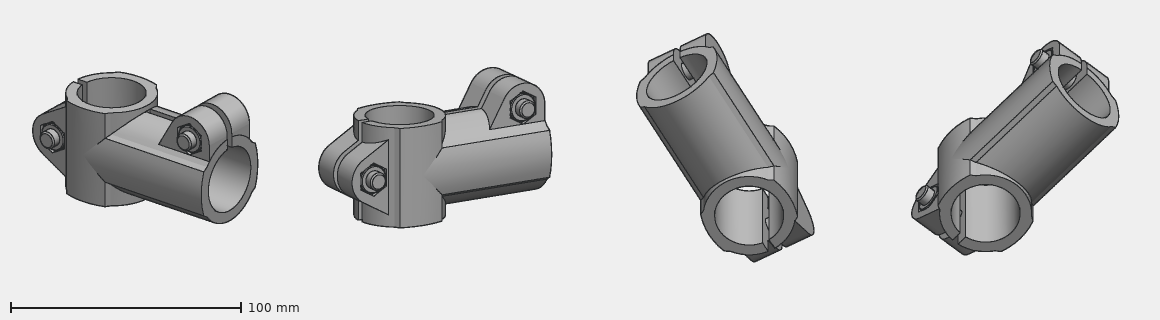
import cadquery as cq
import math

TUBE_RADIUS = 20.0
BORE_RADIUS = 15.0
PAD_EDGE_X = 10.6
PAD_EDGE_Y = 18.2
PAD_FOOT_X = 12.0
VERTICAL_LENGTH = 45.0
HORIZONTAL_END = 65.0
HORIZONTAL_BORE_DEPTH = 45.0

SLIT_WIDTH = 3.2
LUG_WIDTH = 28.5
LUG_RADIUS = 11.0
LUG_FLANK_ANGLE = 30.0
LUG_ROOT_DISTANCE = 8.0
SCREW_DISTANCE = 21.5
END_SCREW_X = 53.95

SCREW_DIAMETER = 8.0
SCREW_PROTRUSION = 4.3
SCREW_TIP_DIAMETER = 6.5
SCREW_TIP_LENGTH = 0.6
NUT_FLATS = 13.0
NUT_HEIGHT = 8.0
NUT_CHAMFER_DIAMETER = 12.9
NUT_CHAMFER_ANGLE = 30.0
COLLAR_DIAMETER = 12.6
COLLAR_HEIGHT = 1.5
COLLAR_CHAMFER = 0.45

NUT_CORNERS = NUT_FLATS / math.cos(math.radians(30))
PAD_FOOT_Y = math.sqrt(TUBE_RADIUS**2 - PAD_FOOT_X**2)
LUG_FACE_Y = -LUG_WIDTH / 2


def tube_outline(plane):
    """Round section with a flatter, thickened pad on its +Y and -Y sides."""
    return (
        cq.Workplane(plane)
        .moveTo(PAD_FOOT_X, -PAD_FOOT_Y)
        .threePointArc((TUBE_RADIUS, 0), (PAD_FOOT_X, PAD_FOOT_Y))
        .lineTo(PAD_EDGE_X, PAD_EDGE_Y)
        .threePointArc((0, TUBE_RADIUS), (-PAD_EDGE_X, PAD_EDGE_Y))
        .lineTo(-PAD_FOOT_X, PAD_FOOT_Y)
        .threePointArc((-TUBE_RADIUS, 0), (-PAD_FOOT_X, -PAD_FOOT_Y))
        .lineTo(-PAD_EDGE_X, -PAD_EDGE_Y)
        .threePointArc((0, -TUBE_RADIUS), (PAD_EDGE_X, -PAD_EDGE_Y))
        .close()
    )


def tubes():
    """Vertical tube joined by a horizontal one that starts on its axis."""
    vertical = tube_outline(cq.Plane.XY()).extrude(VERTICAL_LENGTH / 2, both=True)
    along_x = cq.Plane(origin=(0, 0, 0), xDir=(0, 0, 1), normal=(1, 0, 0))
    return vertical.union(tube_outline(along_x).extrude(HORIZONTAL_END))


def lug_plane(center_x, center_z, outward):
    """XZ plane at the screw axis; local Y points away from the tube, normal is -Y."""
    across = cq.Vector(outward).cross(cq.Vector(0, -1, 0))
    return cq.Plane(origin=(center_x, 0, center_z), xDir=across.toTuple(), normal=(0, -1, 0))


def lug(plane, straight_right):
    """Rounded lug on the screw axis; its right flank may run straight to the tube."""
    angle = math.radians(LUG_FLANK_ANGLE)
    tangent_x = LUG_RADIUS * math.cos(angle)
    tangent_y = LUG_RADIUS * math.sin(angle)
    root_y = LUG_ROOT_DISTANCE - SCREW_DISTANCE
    root_x = tangent_x + (tangent_y - root_y) * math.tan(angle)
    if straight_right:
        right_tangent = (LUG_RADIUS, 0)
        right_root = (LUG_RADIUS, root_y)
    else:
        right_tangent = (tangent_x, tangent_y)
        right_root = (root_x, root_y)
    return (
        cq.Workplane(plane)
        .moveTo(-root_x, root_y)
        .lineTo(-tangent_x, tangent_y)
        .threePointArc((0, LUG_RADIUS), right_tangent)
        .lineTo(*right_root)
        .close()
        .extrude(LUG_WIDTH / 2, both=True)
    )


def bores():
    """Through bore of the vertical tube and blind bore from the horizontal tube's end."""
    vertical = (
        cq.Workplane("XY")
        .transformed(rotate=(0, 0, 180))
        .circle(BORE_RADIUS)
        .extrude(VERTICAL_LENGTH / 2, both=True)
    )
    end = cq.Workplane("YZ", origin=(HORIZONTAL_END, 0, 0))
    return vertical.union(end.circle(BORE_RADIUS).extrude(-HORIZONTAL_BORE_DEPTH))


def slits():
    """Gaps that split each bore wall and its lug into two clamping halves."""
    reach = SCREW_DISTANCE + LUG_RADIUS
    bore_floor_x = HORIZONTAL_END - HORIZONTAL_BORE_DEPTH
    side = cq.Workplane("XY", origin=(-reach, 0, 0)).box(
        reach, SLIT_WIDTH, VERTICAL_LENGTH, centered=(False, True, True)
    )
    top = cq.Workplane("XY", origin=(bore_floor_x, 0, 0)).box(
        HORIZONTAL_BORE_DEPTH, SLIT_WIDTH, reach, centered=(False, True, False)
    )
    return side.union(top)


def nut_hexagon(center, face_y, height):
    """Hexagonal prism, corners up and down, running from face_y towards +Y."""
    return (
        cq.Workplane("XZ", origin=(center[0], face_y, center[1]))
        .transformed(rotate=(0, 0, 90))
        .polygon(6, NUT_CORNERS)
        .extrude(-height)
    )


def nut_pocket(center):
    """Hexagonal recess in the lug's -Y face."""
    return nut_hexagon(center, LUG_FACE_Y, NUT_HEIGHT)


def nut(center):
    """Locking nut: chamfered hexagon below a round chamfered collar flush with the lug."""
    hexagon_y = LUG_FACE_Y + COLLAR_HEIGHT
    hexagon_height = NUT_HEIGHT - COLLAR_HEIGHT
    chamfer_radius = NUT_CHAMFER_DIAMETER / 2
    base_radius = chamfer_radius + hexagon_height / math.tan(math.radians(NUT_CHAMFER_ANGLE))
    chamfer_cone = cq.Workplane("XY").add(
        cq.Solid.makeCone(
            chamfer_radius,
            base_radius,
            hexagon_height,
            cq.Vector(center[0], hexagon_y, center[1]),
            cq.Vector(0, 1, 0),
        )
    )
    collar = (
        cq.Workplane("XZ", origin=(center[0], hexagon_y, center[1]))
        .circle(COLLAR_DIAMETER / 2)
        .extrude(COLLAR_HEIGHT)
        .faces("<Y")
        .chamfer(COLLAR_CHAMFER)
    )
    return nut_hexagon(center, hexagon_y, hexagon_height).intersect(chamfer_cone).union(collar)


def screw(center):
    """Round shank from inside the +Y half of the lug to its tapered tip beyond the nut."""
    start_y = LUG_WIDTH / 4
    tip_y = LUG_FACE_Y - SCREW_PROTRUSION
    taper_y = tip_y + SCREW_TIP_LENGTH
    return (
        cq.Workplane("XY")
        .polyline([
            (0, start_y),
            (SCREW_DIAMETER / 2, start_y),
            (SCREW_DIAMETER / 2, taper_y),
            (SCREW_TIP_DIAMETER / 2, tip_y),
            (0, tip_y),
        ])
        .close()
        .revolve(360, (0, 0, 0), (0, 1, 0))
        .translate((center[0], 0, center[1]))
    )


side_center = (-SCREW_DISTANCE, 0)
top_center = (END_SCREW_X, SCREW_DISTANCE)

body = tubes()
body = body.union(lug(lug_plane(*side_center, (-1, 0, 0)), straight_right=False))
body = body.union(lug(lug_plane(*top_center, (0, 0, 1)), straight_right=True))
body = body.cut(bores()).cut(slits())
for screw_center in (side_center, top_center):
    body = body.cut(nut_pocket(screw_center))
    body = body.union(nut(screw_center))
    body = body.union(screw(screw_center))

result = body